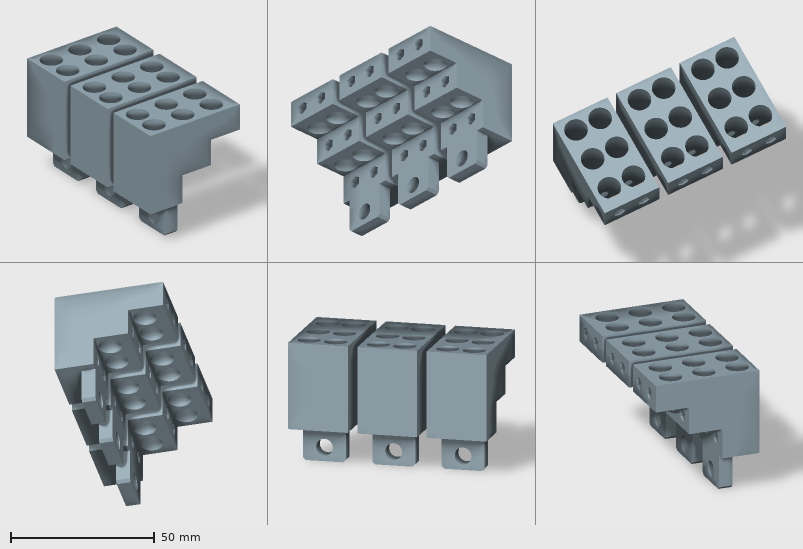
import cadquery as cq
import math

overall_width = 71.5
terminal_count = 3
block_width = 21.5
terminal_pitch = (overall_width - block_width) / (terminal_count - 1)

tier_count = 3
tier_height = 10.0
step_run = 12.5
front_tier_depth = 13.95
block_height = 31.0

wire_hole_diameter = 8.2
wire_hole_spacing = 9.5
front_wire_hole_y = 6.0
blind_hole_floor = 1.0

socket_across_flats = 4.0
socket_across_corners = socket_across_flats / math.cos(math.pi / 6)

tongue_width = 15.5
tongue_thickness = 5.0
tongue_length = 12.95
tongue_chamfer = 1.0
tongue_hole_diameter = 6.0
tongue_hole_above_tip = 5.0


def tier_back(tier):
    """Y of the back face of a tier, counted from the front (deepest) one."""
    return front_tier_depth + tier * step_run


def tier_top(tier):
    """Z of the upper limit of a tier."""
    return -(tier_count - 1 - tier) * tier_height


def tier_bottom(tier):
    """Z of the underside of a tier."""
    if tier == 0:
        return -block_height
    return tier_top(tier) - tier_height


def make_box(width, y_start, y_end, z_bottom, z_top):
    """Box centred on X = 0 between the given Y and Z limits."""
    return (
        cq.Workplane("XY")
        .box(width, y_end - y_start, z_top - z_bottom, centered=(True, False, False))
        .translate((0, y_start, z_bottom))
    )


def make_stepped_block():
    """Block whose underside climbs in steps towards the back."""
    block = make_box(block_width, 0, tier_back(0), tier_bottom(0), 0)
    for tier in range(1, tier_count):
        step = make_box(block_width, tier_back(tier - 1), tier_back(tier), tier_bottom(tier), 0)
        block = block.union(step)
    return block


def make_tongue():
    """Flat tongue with chamfered lower corners and a bolt hole."""
    tip_z = -block_height - tongue_length
    tongue_front = tier_back(0) - tongue_thickness
    tongue = make_box(tongue_width, tongue_front, tier_back(0), tip_z, -block_height)
    tongue = tongue.faces("<Z").edges("|Y").chamfer(tongue_chamfer)
    bolt_hole = (
        cq.Workplane("XZ", origin=(0, tier_back(0), tip_z + tongue_hole_above_tip))
        .circle(tongue_hole_diameter / 2)
        .extrude(tongue_thickness)
    )
    return tongue.cut(bolt_hole)


def make_wire_hole(hole_x, tier):
    """Vertical hole: through the upper tiers, blind in the front tier."""
    hole_bottom = tier_bottom(tier)
    if tier == 0:
        hole_bottom += blind_hole_floor
    return (
        cq.Workplane("XY", origin=(hole_x, front_wire_hole_y + tier * step_run, 0))
        .circle(wire_hole_diameter / 2)
        .extrude(hole_bottom)
    )


def make_socket(hole_x, tier):
    """Hexagonal hole along Y, corner up, from the back of a tier to the axis of its wire hole."""
    socket_z = tier_top(tier) - tier_height / 2
    wire_hole_y = front_wire_hole_y + tier * step_run
    return (
        cq.Workplane("XZ", origin=(hole_x, tier_back(tier), socket_z))
        .transformed(rotate=(0, 0, 90))
        .polygon(6, socket_across_corners)
        .extrude(tier_back(tier) - wire_hole_y)
    )


def make_terminal():
    """One complete terminal, centred on X = 0."""
    terminal = make_stepped_block().union(make_tongue())
    for tier in range(tier_count):
        for hole_x in (-wire_hole_spacing / 2, wire_hole_spacing / 2):
            terminal = terminal.cut(make_wire_hole(hole_x, tier))
            terminal = terminal.cut(make_socket(hole_x, tier))
    return terminal


terminals = []
for index in range(terminal_count):
    terminal_x = (index - (terminal_count - 1) / 2) * terminal_pitch
    terminals.append(make_terminal().translate((terminal_x, 0, 0)).solids().val())

result = cq.Compound.makeCompound(terminals)